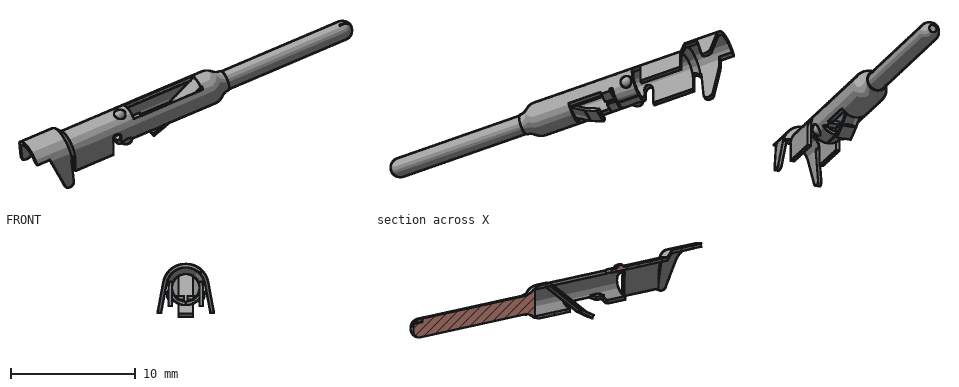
import cadquery as cq
import math


sheet = 0.30
barrel_radius = 1.40
bore_radius = barrel_radius - sheet
bore_end_y = 17.0
reach = 5.0

pin_radius = 0.79
pin_tip_y = 29.5
pin_tip_flat_radius = 0.32
pin_tip_length = 0.75
collar_radius = 0.84
collar_end_y = 17.94
shoulder_start_y = 16.5
shoulder_mid_y = 17.19
shoulder_mid_radius = 1.13
tip_slit_length = 0.95
tip_slit_width = 0.08
tip_slit_depth = 0.30

ins_radius = 1.85
ins_center_z = 0.08
ins_length = 3.0
ins_top_z = ins_center_z + ins_radius
arm_lean = math.radians(10.7)
arm_tip_z = -2.03
arm_round_z = -1.65
arm_root_z = 1.25
right_cut_z = 1.27
back_edge_z = 0.58
arm_gap_y = 2.93

left_tip_front_y = 0.46
left_tip_back_y = 1.31
left_root_y = 1.80
left_root_z = 0.38
left_corner_end_y = 2.00
left_corner_mid = (1.87, 0.52)
right_root_y = 1.15
right_tip_front_y = 2.09

wire_start_y = 3.5
wire_end_y = 7.0
wing_bottom_z = -1.48
front_gap_top_z = 0.52

sleeve_start_y = 7.75
sleeve_end_y = 9.60
rear_gap_top_z = 0.68
seam_width = 0.06

top_window_start_y = 9.20
top_window_end_y = 15.45
top_relief_length = 0.10
top_window_half_width = 0.81
top_window_half_angle = math.asin(top_window_half_width / barrel_radius)
bottom_window_end_y = 13.44
bottom_window_z = -0.81

tab_start_y = 9.83
tab_end_y = 10.64
tab_top_z = -0.68
tab_bottom_z = -0.94
tab_gap = 0.28

lance_width = 1.20
lance_slope = math.radians(39.7)
lance_kink_y = 12.27
lance_overlap = 0.60
tail_slope = math.radians(29.4)
tail_length = 1.28

bump_y = 8.35
bump_base_radius = 0.46
bump_height = 0.27
bump_count = 3


def block(x_range, y_range, z_range):
    """Box given by its limits along each axis."""
    (x0, x1), (y0, y1), (z0, z1) = x_range, y_range, z_range
    return cq.Workplane("XY").box(x1 - x0, y1 - y0, z1 - z0, centered=False).translate((x0, y0, z0))


def section(y):
    """Workplane across the part at Y = y; extrusions run toward +Y."""
    return cq.Workplane("XZ", origin=(0, y, 0)).transformed(rotate=(0, 180, 0))


def rod(radius, y0, y1):
    return section(y0).circle(radius).extrude(y1 - y0)


def arch(radius, center_z, lean, bottom_z):
    """Outline of an arch whose two straight legs lean outward by the given angle."""
    shoulder_x = radius * math.cos(lean)
    shoulder_z = center_z + radius * math.sin(lean)
    foot_x = shoulder_x + (shoulder_z - bottom_z) * math.tan(lean)
    return (
        cq.Sketch()
        .segment((-foot_x, bottom_z), (-shoulder_x, shoulder_z))
        .arc((-shoulder_x, shoulder_z), (0, center_z + radius), (shoulder_x, shoulder_z))
        .segment((foot_x, bottom_z))
        .close()
        .assemble()
    )


def arch_shell(radius, center_z, lean, bottom_z, y0, y1):
    """Sheet bent to an arch, open at the bottom."""
    outer = section(y0).placeSketch(arch(radius, center_z, lean, bottom_z)).extrude(y1 - y0)
    inner = section(y0).placeSketch(arch(radius - sheet, center_z, lean, bottom_z)).extrude(y1 - y0)
    return outer.cut(inner)


def side_prism(outline, x0, x1):
    """Extrude a closed (Y, Z) outline between two X positions."""
    return outline.extrude(x1 - x0).translate((x0, 0, 0))


def round_gap(y0, width, top_z):
    """Cutter for a gap across the part, open downward with a round top."""
    spring_z = top_z - width / 2
    outline = (
        cq.Workplane("YZ")
        .moveTo(y0, -reach)
        .lineTo(y0, spring_z)
        .threePointArc((y0 + width / 2, top_z), (y0 + width, spring_z))
        .lineTo(y0 + width, -reach)
        .close()
    )
    return side_prism(outline, -reach, reach)


def point_on_tangent_arc(start, end):
    """Point halfway along Y on the arc that leaves start parallel to the Y axis and ends at end."""
    across = end[0] - start[0]
    along = end[1] - start[1]
    radius = (across**2 + along**2) / (2 * abs(across))
    offset = radius - math.sqrt(radius**2 - (along / 2) ** 2)
    return (start[0] + math.copysign(offset, across), start[1] + along / 2)


def make_pin():
    """Turned body: pin, collar, rounded shoulder and barrel."""
    tip_base = (pin_radius, pin_tip_y - pin_tip_length)
    tip_end = (pin_tip_flat_radius, pin_tip_y)
    shoulder_end = (barrel_radius, shoulder_start_y)
    shoulder_mid = (shoulder_mid_radius, shoulder_mid_y)
    collar_end = (collar_radius, collar_end_y)
    body = (
        cq.Workplane("XY")
        .moveTo(0, sleeve_start_y)
        .lineTo(barrel_radius, sleeve_start_y)
        .lineTo(*shoulder_end)
        .threePointArc(point_on_tangent_arc(shoulder_end, shoulder_mid), shoulder_mid)
        .threePointArc(point_on_tangent_arc(collar_end, shoulder_mid), collar_end)
        .lineTo(pin_radius, collar_end_y)
        .lineTo(*tip_base)
        .threePointArc(point_on_tangent_arc(tip_base, tip_end), tip_end)
        .lineTo(0, pin_tip_y)
        .close()
        .revolve(360, (0, 0, 0), (0, 1, 0))
    )
    slit = block(
        (-tip_slit_width / 2, tip_slit_width / 2),
        (pin_tip_y - tip_slit_length, pin_tip_y),
        (pin_radius - tip_slit_depth, reach),
    )
    return body.cut(rod(bore_radius, sleeve_start_y, bore_end_y)).cut(slit)


def make_windows():
    """Radial top window, flat-cut bottom window and the sleeve seam."""
    spread = reach * math.tan(top_window_half_angle)
    top = (
        section(top_window_start_y)
        .polyline([(0, 0), (-spread, reach), (spread, reach)])
        .close()
        .extrude(top_window_end_y + top_relief_length - top_window_start_y)
    )
    lance_root = block((-lance_width / 2, lance_width / 2), (top_window_end_y, pin_tip_y), (0, reach))
    top = top.cut(lance_root)
    bottom = block((-reach, reach), (sleeve_end_y, bottom_window_end_y), (-reach, bottom_window_z))
    seam = block((-seam_width / 2, seam_width / 2), (sleeve_start_y, sleeve_end_y), (-reach, 0))
    return top.union(bottom).union(seam)


def make_tabs():
    """Two flat tabs reaching inward from the edges of the bottom window."""
    tabs = block((-reach, reach), (tab_start_y, tab_end_y), (tab_bottom_z, tab_top_z))
    gap = block((-tab_gap / 2, tab_gap / 2), (tab_start_y, tab_end_y), (tab_bottom_z, tab_top_z))
    return tabs.cut(gap).intersect(rod(barrel_radius, tab_start_y, tab_end_y))


def make_lance():
    """Curved strip bent down from the top window through the bottom one, with a flat tail."""
    half = lance_width / 2
    outer_z = math.sqrt(barrel_radius**2 - half**2)
    inner_z = math.sqrt(bore_radius**2 - half**2)
    run = top_window_end_y - lance_kink_y
    drop = run * math.tan(lance_slope)
    strip_run = run + lance_overlap
    strip_drop = strip_run * math.tan(lance_slope)
    root = (
        cq.Workplane("XZ", origin=(0, top_window_end_y, 0))
        .moveTo(-half, inner_z)
        .lineTo(-half, outer_z)
        .threePointArc((0, barrel_radius), (half, outer_z))
        .lineTo(half, inner_z)
        .threePointArc((0, bore_radius), (-half, inner_z))
        .close()
        .wires()
        .val()
    )
    strip = cq.Workplane(cq.Solid.extrudeLinear(root, [], cq.Vector(0, -strip_run, -strip_drop)))
    kink = (lance_kink_y, inner_z - drop)
    along = (-math.cos(tail_slope), -math.sin(tail_slope))
    normal = (along[1], -along[0])
    end = (kink[0] + tail_length * along[0], kink[1] + tail_length * along[1])
    tail = side_prism(
        cq.Workplane("YZ").polyline([
            kink,
            end,
            (end[0] + sheet * normal[0], end[1] + sheet * normal[1]),
            (kink[0] + sheet * normal[0], kink[1] + sheet * normal[1]),
            (kink[0], outer_z - drop),
        ]).close(),
        -half, half,
    )
    below_tail = side_prism(
        cq.Workplane("YZ").polyline([kink, end, (end[0], -reach), (kink[0], -reach)]).close(),
        -half, half,
    )
    return strip.cut(below_tail).union(tail)


def make_bumps():
    """Domes spaced evenly around the sleeve."""
    dome_radius = (bump_base_radius**2 + bump_height**2) / (2 * bump_height)
    center_distance = barrel_radius + bump_height - dome_radius
    dome = cq.Workplane("XZ", origin=(0, bump_y, center_distance)).sphere(dome_radius)
    bumps = cq.Workplane("XY")
    for i in range(bump_count):
        bumps = bumps.add(dome.rotate((0, 0, 0), (0, 1, 0), i * 360 / bump_count))
    return bumps.combine().cut(rod(bore_radius + sheet / 2, sleeve_start_y, sleeve_end_y))


def make_wire_crimp():
    """Open U crimp with straight wings, joined to the sleeve by an arched bridge."""
    crimp = arch_shell(barrel_radius, 0, 0, wing_bottom_z, wire_start_y, sleeve_start_y)
    gap_width = sleeve_start_y - wire_end_y
    return crimp.cut(round_gap(wire_end_y, gap_width, rear_gap_top_z))


def make_flare():
    """Tapered neck between the wire crimp and the wider insulation crimp."""
    length = wire_start_y - ins_length

    def cone(inset):
        return (
            section(ins_length)
            .center(0, ins_center_z)
            .circle(ins_radius - inset)
            .workplane(offset=length)
            .center(0, -ins_center_z)
            .circle(barrel_radius - inset)
            .loft(ruled=True)
        )

    gap = round_gap(arm_gap_y, wire_start_y - arm_gap_y, front_gap_top_z)
    return cone(0).cut(cone(sheet)).cut(gap)


def make_insulation_crimp():
    """Wide arch with two staggered, tapered arms that have rounded tips."""
    shell = arch_shell(ins_radius, ins_center_z, arm_lean, arm_tip_z, 0, ins_length)
    left_tip_mid_y = (left_tip_front_y + left_tip_back_y) / 2
    right_tip_mid_y = (right_tip_front_y + arm_gap_y) / 2
    left = (
        cq.Workplane("YZ")
        .moveTo(ins_length, ins_top_z)
        .lineTo(0, ins_top_z)
        .lineTo(0, arm_root_z)
        .lineTo(left_tip_front_y, arm_round_z)
        .threePointArc((left_tip_mid_y, arm_tip_z), (left_tip_back_y, arm_round_z))
        .lineTo(left_root_y, left_root_z)
        .threePointArc(left_corner_mid, (left_corner_end_y, back_edge_z))
        .lineTo(ins_length, back_edge_z)
        .close()
    )
    right = (
        cq.Workplane("YZ")
        .moveTo(ins_length, ins_top_z)
        .lineTo(0, ins_top_z)
        .lineTo(0, right_cut_z)
        .lineTo(right_root_y, right_cut_z)
        .lineTo(right_tip_front_y, arm_round_z)
        .threePointArc((right_tip_mid_y, arm_tip_z), (arm_gap_y, arm_round_z))
        .lineTo(arm_gap_y, front_gap_top_z)
        .lineTo(ins_length, front_gap_top_z)
        .close()
    )
    return shell.intersect(side_prism(left, -reach, 0).union(side_prism(right, 0, reach)))


result = (
    make_pin()
    .cut(make_windows())
    .union(make_tabs())
    .union(make_lance())
    .union(make_bumps())
    .union(make_wire_crimp())
    .union(make_flare())
    .union(make_insulation_crimp())
)